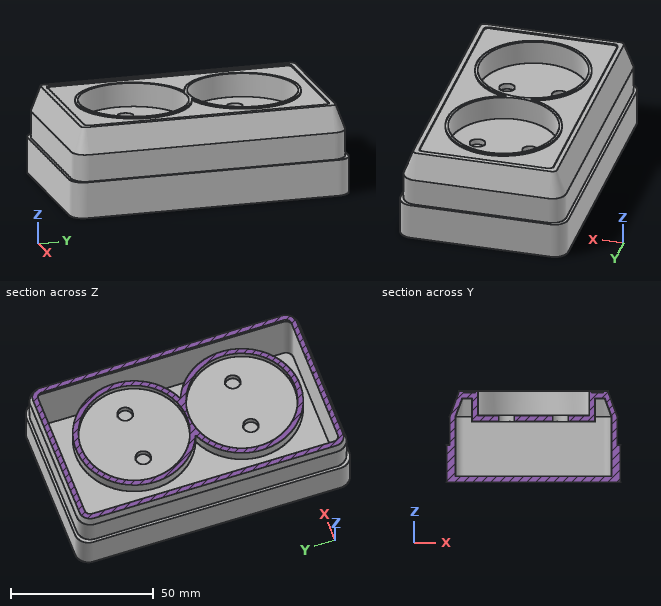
import cadquery as cq
import math

base_width = 61.0
base_length = 102.0
base_height = 13.2
base_corner_radius = 5.0

lid_setback = 1.0
lid_wall_height = 9.8
lid_slope_height = 9.1
lid_slope_run = 3.4
lid_width = base_width - 2 * lid_setback
lid_length = base_length - 2 * lid_setback
lid_corner_radius = 5.0
slope_start = base_height + lid_wall_height
top_height = slope_start + lid_slope_height

panel_margin = 1.8
panel_depth = 0.5
panel_width = lid_width - 2 * (lid_slope_run + panel_margin)
panel_length = lid_length - 2 * (lid_slope_run + panel_margin)
panel_corner_radius = 1.6

socket_diameter = 39.0
rim_thickness = 1.0
rim_diameter = socket_diameter + 2 * rim_thickness
socket_pitch = socket_diameter + rim_thickness
socket_depth = 8.6
pin_hole_diameter = 5.5
pin_hole_pitch = 19.1

wall_thickness = 2.1
cup_diameter = socket_diameter + 2 * wall_thickness

socket_centers = [(0, -socket_pitch / 2), (0, socket_pitch / 2)]
pin_hole_centers = [
    (x + side * pin_hole_pitch / 2, y)
    for x, y in socket_centers
    for side in (-1, 1)
]


def rounded_block(width, length, height, radius, bottom):
    """Upright block with rounded vertical edges."""
    return (
        cq.Workplane("XY", origin=(0, 0, bottom))
        .rect(width, length)
        .extrude(height)
        .edges("|Z")
        .fillet(radius)
    )


def discs(centers, diameter, height, bottom):
    """Upright cylinders of one size at the given centers."""
    return (
        cq.Workplane("XY", origin=(0, 0, bottom))
        .pushPoints(centers)
        .circle(diameter / 2)
        .extrude(height)
    )


def tapered_block(width, length, radius, bottom, shoulder, top):
    """Rounded block from bottom to shoulder, then sloping inward up to top."""
    block = rounded_block(width, length, shoulder - bottom, radius, bottom)
    slope_angle = math.degrees(math.atan(lid_slope_run / lid_slope_height))
    cap = block.faces(">Z").wires().toPending().extrude(top - shoulder, taper=slope_angle, combine=False)
    return block.union(cap)


base = rounded_block(base_width, base_length, base_height, base_corner_radius, 0)
lid = tapered_block(lid_width, lid_length, lid_corner_radius, base_height, slope_start, top_height)
body = base.union(lid)

panel_floor = top_height - panel_depth
panel = rounded_block(panel_width, panel_length, panel_depth, panel_corner_radius, panel_floor)
rims = discs(socket_centers, rim_diameter, panel_depth, panel_floor)
body = body.cut(panel.cut(rims))

socket_floor = top_height - socket_depth
cup_bottom = socket_floor - wall_thickness
cavity = tapered_block(
    lid_width - 2 * wall_thickness,
    lid_length - 2 * wall_thickness,
    lid_corner_radius - wall_thickness,
    wall_thickness,
    slope_start,
    panel_floor - wall_thickness,
)
cups = discs(socket_centers, cup_diameter, top_height - cup_bottom, cup_bottom)
body = body.cut(cavity.cut(cups))

sockets = discs(socket_centers, socket_diameter, socket_depth, socket_floor)
pin_holes = discs(pin_hole_centers, pin_hole_diameter, wall_thickness, cup_bottom)
result = body.cut(sockets).cut(pin_holes)